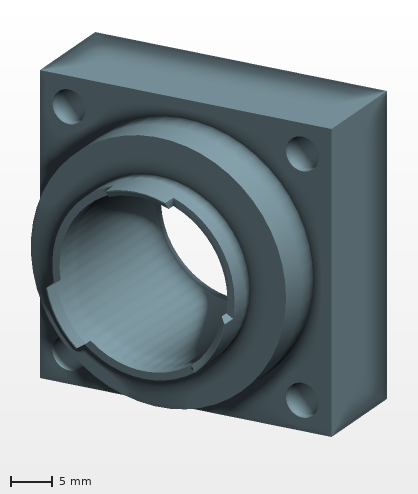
import cadquery as cq

block_side = 40.0
block_depth = 14.0
screw_hole_diameter = 4.5
screw_hole_spacing = 32.0

flange_diameter = 35.0
flange_length = 6.9
spigot_diameter = 25.0
spigot_length = 3.8

tooth_count = 3
tooth_width = 8.2
tooth_length = 2.0
tooth_chamfer = 0.85

bore_diameter = 23.0
lip_diameter = 22.0
lip_length = 0.3

flange_front = block_depth + flange_length
spigot_front = flange_front + spigot_length
total_depth = spigot_front + tooth_length


def cylinder(diameter, start, end):
    """Cylinder about the Y axis between two distances from the back face."""
    return (
        cq.Workplane("XZ")
        .workplane(offset=start)
        .circle(diameter / 2)
        .extrude(end - start)
    )


def make_block():
    """Square block with a screw hole through each corner."""
    return (
        cq.Workplane("XZ")
        .rect(block_side, block_side)
        .extrude(block_depth)
        .faces("<Y")
        .workplane(origin=(0, 0, 0))
        .rect(screw_hole_spacing, screw_hole_spacing, forConstruction=True)
        .vertices()
        .hole(screw_hole_diameter)
    )


def make_teeth():
    """Parallel-sided teeth cut from a ring, the first one at the top."""
    ring = cylinder(spigot_diameter, spigot_front, total_depth)
    tooth_sector = (
        cq.Workplane("XZ")
        .workplane(offset=spigot_front)
        .rect(tooth_width, spigot_diameter)
        .extrude(tooth_length)
        .translate((0, 0, spigot_diameter / 2))
    )
    sectors = cq.Workplane("XZ")
    for index in range(tooth_count):
        angle = index * 360 / tooth_count
        sectors = sectors.add(tooth_sector.rotate((0, 0, 0), (0, 1, 0), angle))
    return ring.intersect(sectors.combine())


def make_bore():
    """Bore with a conical lip at the back and a 45 degree chamfer at the tooth tips."""
    bore_radius = bore_diameter / 2
    profile = [
        (0, 0),
        (lip_diameter / 2, 0),
        (bore_radius, -lip_length),
        (bore_radius, -(total_depth - tooth_chamfer)),
        (bore_radius + tooth_chamfer, -total_depth),
        (0, -total_depth),
    ]
    return cq.Workplane("XY").polyline(profile).close().revolve(360, (0, 0), (0, 1))


flange = cylinder(flange_diameter, block_depth, flange_front)
spigot = cylinder(spigot_diameter, flange_front, spigot_front)
body = make_block().union(flange).union(spigot).union(make_teeth())
result = body.cut(make_bore())